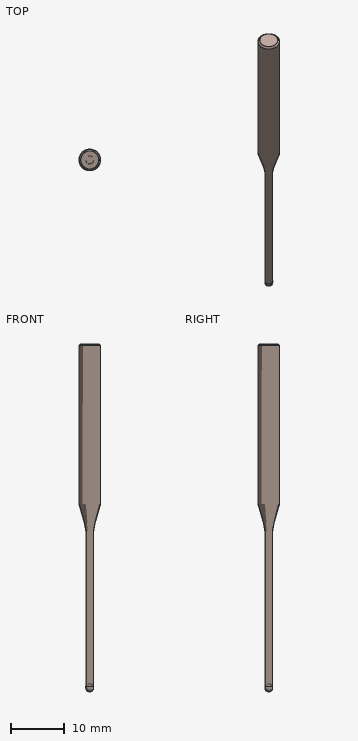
import cadquery as cq

overall_length = 65.0
shank_diameter = 4.0
shank_chamfer = 0.3
shank_length = 29.9
cone_length = 3.5
cone_end_diameter = 2.0
collar_length = 1.6
neck_diameter = 1.4
ball_diameter = 1.5
cutting_length = 1.0

shank_radius = shank_diameter / 2
neck_radius = neck_diameter / 2
ball_radius = ball_diameter / 2
shank_bottom = overall_length - shank_length
cone_bottom = shank_bottom - cone_length
collar_bottom = cone_bottom - collar_length


def make_holder():
    """Chamfered shank, its two tapers and the slender neck, as one solid."""
    profile = (
        cq.Workplane("XZ")
        .moveTo(0, cutting_length)
        .lineTo(neck_radius, cutting_length)
        .lineTo(neck_radius, collar_bottom)
        .lineTo(cone_end_diameter / 2, cone_bottom)
        .lineTo(shank_radius, shank_bottom)
        .lineTo(shank_radius, overall_length - shank_chamfer)
        .lineTo(shank_radius - shank_chamfer, overall_length)
        .lineTo(0, overall_length)
        .close()
    )
    return profile.revolve(360, (0, 0, 0), (0, 1, 0))


def make_cutting_tip():
    """Hemispherical nose with a short cylindrical land that meets the neck."""
    land = (
        cq.Workplane("XY", origin=(0, 0, ball_radius))
        .circle(ball_radius)
        .extrude(cutting_length - ball_radius)
    )
    ball = cq.Workplane("XY", origin=(0, 0, ball_radius)).sphere(ball_radius)
    return land.union(ball)


holder = make_holder()
cutting_tip = make_cutting_tip()

result = cq.Compound.makeCompound([holder.val(), cutting_tip.val()])